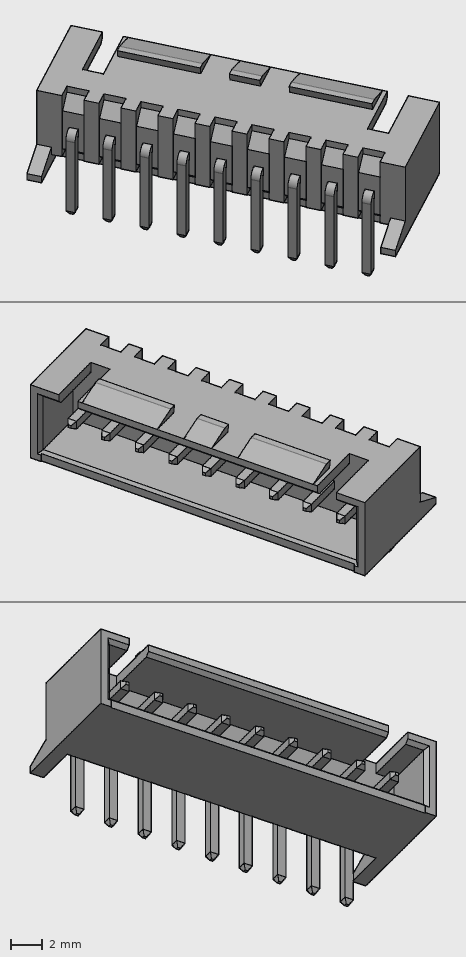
import cadquery as cq


body_width = 24.9
body_depth = 7.0
body_height = 5.85
wall = 0.8
cavity_depth = 4.03
mouth_chamfer = 0.27
floor_setback = 0.07
front_y = -body_depth

pin_count = 9
pin_span = 20.0
pin_pitch = pin_span / (pin_count - 1)
pin_size = 0.62
pin_drop = 3.49
pin_front_y = -7.5
pin_bottom_z = 2.61
contact_tip_y = -0.8
tip_length = 0.35
tip_inset = 0.2
pin_xs = [-pin_span / 2 + i * pin_pitch for i in range(pin_count)]

recess_width = 1.5
recess_back_y = -5.98
pad_front_y = -6.85
pad_top_z = 5.35
step_height = 0.82
pad_top_bevel = recess_back_y - pad_front_y
pad_bottom_bevel = 0.55

slot_width = 1.42
slot_edge_gap = 2.12

ramp_height = 0.55
ramp_rise_length = 1.7
ramp_crest_length = 2.17
ramp_foot_length = 2.07
outer_ramp_width = 5.6
outer_ramp_x = 5.8
centre_ramp_width = 2.07

foot_width = 1.0
foot_reach = 2.0
foot_root_height = 1.42
foot_tip_height = 0.52


def box(x_range, y_range, z_range):
    """Axis-aligned block between pairs of limits."""
    (x0, x1), (y0, y1), (z0, z1) = x_range, y_range, z_range
    return cq.Workplane("XY").box(x1 - x0, y1 - y0, z1 - z0, centered=False).translate((x0, y0, z0))


def side_profile(points, x_centre, width):
    """Closed (y, z) outline given thickness along X."""
    outline = cq.Workplane("YZ").polyline(points).close()
    return outline.extrude(width / 2, both=True).translate((x_centre, 0, 0))


def make_shell():
    """Housing block with the mating cavity and the step under its -Y edge."""
    half = body_width / 2
    shell = box((-half, half), (front_y, 0), (0, body_height))

    cavity_width = body_width - 2 * wall
    cavity_height = body_height - 2 * wall
    mouth = cq.Workplane("XZ", origin=(0, 0, body_height / 2)).rect(cavity_width, cavity_height)
    shell = shell.cut(mouth.extrude(cavity_depth))
    shell = shell.faces(">Y").edges("not(<X or >X or <Z or >Z)").chamfer(mouth_chamfer)

    cavity_half = cavity_width / 2
    shell = shell.cut(box((-cavity_half, cavity_half), (-floor_setback, 0), (0, wall)))
    return shell.cut(box((-half, half), (front_y, recess_back_y), (0, step_height)))


def make_top_slot(side):
    """Cutter for one open-ended slot; side is -1 or +1."""
    outer = body_width / 2 - slot_edge_gap
    x_limits = sorted((side * outer, side * (outer - slot_width)))
    return box(x_limits, (-cavity_depth, 0), (body_height / 2, body_height))


def make_recess(x):
    """Cutter for one pin recess, which leaves a pad with 45 degree bevels behind the pin."""
    points = [
        (front_y, step_height),
        (front_y, body_height),
        (recess_back_y, body_height),
        (recess_back_y, pad_top_z),
        (pad_front_y, pad_top_z - pad_top_bevel),
        (pad_front_y, step_height + pad_bottom_bevel),
        (pad_front_y + pad_bottom_bevel, step_height),
    ]
    return side_profile(points, x, recess_width)


def make_ramp(x, width):
    """Latch ramp rising from the mating edge, with an undercut rear face."""
    crest_z = body_height + ramp_height
    points = [
        (0, body_height),
        (-ramp_rise_length, crest_z),
        (-ramp_crest_length, crest_z),
        (-ramp_foot_length, body_height),
    ]
    return side_profile(points, x, width)


def make_foot(side):
    """Tapered foot at one end; side is -1 or +1. It runs back to the stepped underside."""
    points = [
        (recess_back_y, 0),
        (recess_back_y, foot_root_height),
        (front_y, foot_root_height),
        (front_y - foot_reach, foot_tip_height),
        (front_y - foot_reach, 0),
    ]
    return side_profile(points, side * (body_width - foot_width) / 2, foot_width)


def make_tip(plane):
    """Tapered square pin end growing along the plane normal."""
    tip_size = pin_size - 2 * tip_inset
    base = cq.Workplane(plane).rect(pin_size, pin_size)
    return base.workplane(offset=tip_length).rect(tip_size, tip_size).loft(combine=True)


def make_pin(x):
    """Square pin bent down through a right angle, rounded on the outside, tapered at both ends."""
    rear_y = pin_front_y + pin_size
    top_z = pin_bottom_z + pin_size
    middle_y = pin_front_y + pin_size / 2
    middle_z = pin_bottom_z + pin_size / 2
    contact_end_y = contact_tip_y - tip_length
    tail_end_z = tip_length - pin_drop

    contact = box((-pin_size / 2, pin_size / 2), (rear_y, contact_end_y), (pin_bottom_z, top_z))
    tail = box((-pin_size / 2, pin_size / 2), (pin_front_y, rear_y), (tail_end_z, pin_bottom_z))
    bend = (
        cq.Workplane("YZ")
        .moveTo(rear_y, pin_bottom_z)
        .lineTo(rear_y, top_z)
        .radiusArc((pin_front_y, pin_bottom_z), -pin_size)
        .close()
        .extrude(pin_size / 2, both=True)
    )
    contact_tip = make_tip(cq.Plane((0, contact_end_y, middle_z), (1, 0, 0), (0, 1, 0)))
    tail_tip = make_tip(cq.Plane((0, middle_y, tail_end_z), (1, 0, 0), (0, 0, -1)))
    pin = contact.union(bend).union(tail).union(contact_tip).union(tail_tip)
    return pin.translate((x, 0, 0))


result = make_shell()

for x in pin_xs:
    result = result.cut(make_recess(x))

for side in (-1, 1):
    result = result.cut(make_top_slot(side))
    result = result.union(make_foot(side))
    result = result.union(make_ramp(side * outer_ramp_x, outer_ramp_width))
result = result.union(make_ramp(0, centre_ramp_width))

for x in pin_xs:
    result = result.union(make_pin(x))